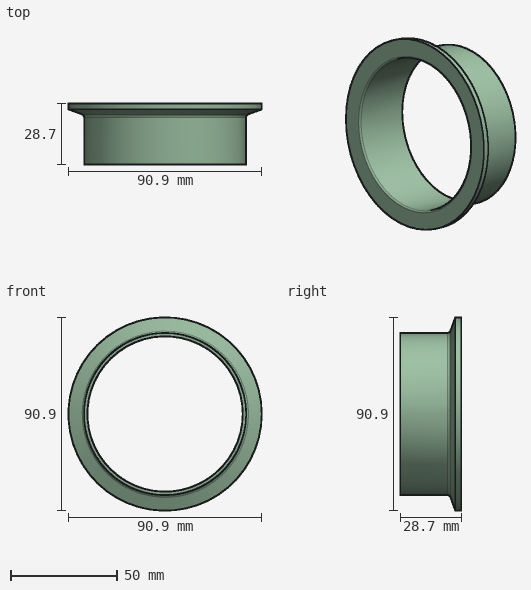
import cadquery as cq
import math

flange_diameter = 90.9
tube_diameter = 76.2
bore_diameter = 72.8
total_length = 28.7
rim_thickness = 2.8
cone_angle = 20.0
neck_fillet = 1.5
bore_fillet = 0.8

flange_radius = flange_diameter / 2
tube_radius = tube_diameter / 2
bore_radius = bore_diameter / 2

cone_depth = (flange_radius - tube_radius) * math.tan(math.radians(cone_angle))
neck_y = -(rim_thickness + cone_depth)


def revolve_profile(points):
    """Revolve a closed (radius, y) outline around the Y axis."""
    return cq.Workplane("XY").polyline(points).close().revolve(360, (0, 0, 0), (0, 1, 0))


body = revolve_profile([
    (bore_radius, 0),
    (flange_radius, 0),
    (flange_radius, -rim_thickness),
    (tube_radius, neck_y),
    (tube_radius, -total_length),
    (bore_radius, -total_length),
])

neck_band = cq.selectors.BoxSelector(
    (-flange_diameter, neck_y - neck_fillet, -flange_diameter),
    (flange_diameter, neck_y + cone_depth / 2, flange_diameter),
    boundingbox=True,
)
body = body.edges(neck_band).fillet(neck_fillet)

result = body.faces(">Y").edges(cq.selectors.RadiusNthSelector(0)).fillet(bore_fillet)